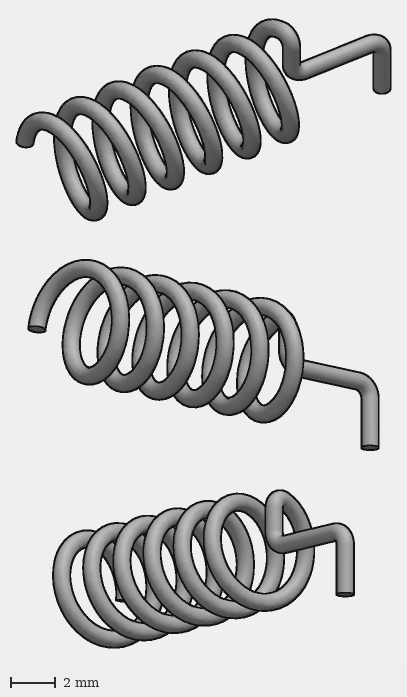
import cadquery as cq
import math

overall_length = 18.0
overall_height = 5.75
coil_outer_diameter = 5.5
wire_diameter = 0.8
pitch = 2.0
full_turns = 6
coil_end_angle = 15.7
lead_bend_radius = 0.7

wire_radius = wire_diameter / 2
coil_radius = coil_outer_diameter / 2 - wire_radius
helix_angle = math.atan(pitch / (2 * math.pi * coil_radius))
end_angle = math.radians(coil_end_angle)
coil_turns = full_turns + 0.25 - end_angle / (2 * math.pi)
coil_length = coil_turns * pitch
coil_plane = cq.Plane(origin=(0, 0, 0), xDir=(-1, 0, 0), normal=(0, 1, 0))

coil_start = cq.Vector(-coil_radius, 0, 0)
start_direction = cq.Vector(0, math.sin(helix_angle), math.cos(helix_angle))
lowest_y = -wire_radius * math.cos(helix_angle)

coil_end = cq.Vector(
    -coil_radius * math.sin(end_angle),
    coil_length,
    coil_radius * math.cos(end_angle),
)
end_direction = cq.Vector(
    math.cos(helix_angle) * math.cos(end_angle),
    math.sin(helix_angle),
    math.cos(helix_angle) * math.sin(end_angle),
)

end_rise = end_direction.z
end_run = math.sqrt(1 - end_rise**2)
heading = cq.Vector(end_direction.x, end_direction.y, 0) / end_run
bend_reach = -coil_end.x / heading.x
coil_bend_radius = bend_reach / (1 + end_rise)

down = cq.Vector(0, 0, -1)
along = cq.Vector(0, 1, 0)
inner_leg_top = coil_end + heading * bend_reach + down * (coil_bend_radius * end_run)
inner_corner = cq.Vector(0, inner_leg_top.y, 0)
outer_corner = cq.Vector(0, lowest_y + overall_length - wire_radius, 0)
tip = outer_corner + down * (overall_height - coil_outer_diameter / 2)
inner_leg_bottom = inner_corner - down * lead_bend_radius
lead_start = inner_corner + along * lead_bend_radius
lead_end = outer_corner - along * lead_bend_radius
outer_leg_top = outer_corner + down * lead_bend_radius


def sweep_wire(path, start, direction):
    """Sweep the round wire section along a path that starts at a point in a direction."""
    section = cq.Workplane(cq.Plane(origin=start, normal=direction)).circle(wire_radius)
    return section.sweep(path, isFrenet=True)


def make_coil():
    helix = cq.Wire.makeHelix(pitch, coil_length, coil_radius).moved(cq.Location(coil_plane))
    return sweep_wire(cq.Workplane(obj=helix), coil_start, start_direction)


def make_lead():
    path = cq.Wire.assembleEdges(
        [
            cq.Edge.makeTangentArc(coil_end, end_direction, inner_leg_top),
            cq.Edge.makeLine(inner_leg_top, inner_leg_bottom),
            cq.Edge.makeTangentArc(inner_leg_bottom, down, lead_start),
            cq.Edge.makeLine(lead_start, lead_end),
            cq.Edge.makeTangentArc(lead_end, along, outer_leg_top),
            cq.Edge.makeLine(outer_leg_top, tip),
        ]
    )
    return sweep_wire(cq.Workplane(obj=path), coil_end, end_direction)


result = make_coil().union(make_lead())